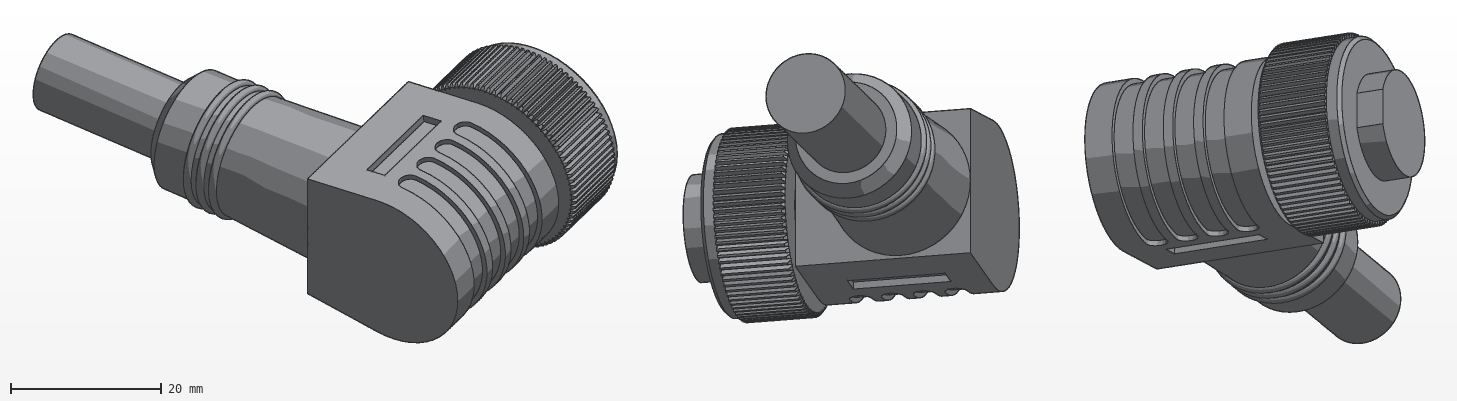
import cadquery as cq
import math


overall_length = 72.3

nose_radius = 11.5
body_back_x = -12.6
nose_tangent_x = -1.45
body_bottom_y = -9.6
body_top_y = 14.6
tangent_z = math.sqrt(nose_radius**2 - nose_tangent_x**2)
taper_angle = math.asin(-nose_tangent_x / nose_radius)

recess_offset = 2.25
recess_width = 2.9
recess_depth = 1.0
recess_bottom_y = -4.4
recess_length = 13.5

groove_count = 4
groove_width = 3.05
groove_pitch = 4.4
groove_depth = 0.7
first_groove_y = -4.1
groove_start_x = -1.4

neck_radius = 7.8
nut_radius = 13.0
knurl_depth = 0.65
knurl_count = 90
knurl_pitch_angle = 2 * math.pi / knurl_count
knurl_tip_angle = knurl_pitch_angle / 3
nut_bottom_y = 16.05
nut_top_y = 25.9
nut_chamfer = 0.4
flange_radius = 12.35
flange_top_y = 27.9
flange_chamfer = 0.5
plug_radius = 7.2
plug_flat_x = 6.8
plug_end_y = 31.7

cable_radius = 5.5
sleeve_start_x = -39.4
sleeve_radius = 8.6
sleeve_chamfer = 1.6
taper_start_x = -27.75
taper_end_radius = -body_bottom_y
ring_radius = 0.6
ring_pitch = 2.0
ring_count = 3
first_ring_x = -32.45


def cylinder_y(radius, start_y, end_y):
    """Solid cylinder on the coupling axis between two heights."""
    disc = cq.Workplane("XZ", origin=(0, start_y, 0)).circle(radius)
    return disc.extrude(start_y - end_y)


def make_body():
    """Teardrop block whose flat sides run tangent into the round nose."""
    back_z = tangent_z - math.tan(taper_angle) * (nose_tangent_x - body_back_x)
    return (
        cq.Workplane("XZ", origin=(0, body_bottom_y, 0))
        .moveTo(body_back_x, -back_z)
        .lineTo(nose_tangent_x, -tangent_z)
        .threePointArc((nose_radius, 0), (nose_tangent_x, tangent_z))
        .lineTo(body_back_x, back_z)
        .close()
        .extrude(body_bottom_y - body_top_y)
    )


def make_recesses():
    """Label recess cutters, square to the upper and lower tapered faces."""
    upper = cq.Workplane("XY").box(
        recess_width, recess_length, 2 * recess_depth, centered=(False, False, True)
    )
    upper = upper.translate((-recess_offset - recess_width, recess_bottom_y, 0))
    upper = upper.rotate((0, 0, 0), (0, 1, 0), -math.degrees(taper_angle))
    upper = upper.translate((nose_tangent_x, 0, tangent_z))
    return upper.union(upper.mirror("XY"))


def make_grooves():
    """Round-ended slots wrapping the nose down to a concentric floor."""
    end_radius = groove_width / 2
    arc_center_x = groove_start_x + end_radius
    end_x = nose_radius + groove_depth
    slots = cq.Workplane("XY")
    for index in range(groove_count):
        y = first_groove_y + index * groove_pitch
        slot = (
            cq.Workplane("XY")
            .moveTo(end_x, y - end_radius)
            .lineTo(arc_center_x, y - end_radius)
            .threePointArc((groove_start_x, y), (arc_center_x, y + end_radius))
            .lineTo(end_x, y + end_radius)
            .close()
            .extrude(nose_radius + groove_depth, both=True)
        )
        slots = slots.add(slot)
    slots = slots.combine()
    return slots.cut(cylinder_y(nose_radius - groove_depth, body_bottom_y, body_top_y))


def make_nut():
    """Nut with flat-tipped knurling and a chamfer on its lower edge."""
    root_radius = nut_radius - knurl_depth
    points = []
    for index in range(knurl_count):
        root_angle = index * knurl_pitch_angle
        tip_angle = root_angle + knurl_pitch_angle / 2
        for radius, angle in (
            (root_radius, root_angle),
            (nut_radius, tip_angle - knurl_tip_angle / 2),
            (nut_radius, tip_angle + knurl_tip_angle / 2),
        ):
            points.append((radius * math.cos(angle), radius * math.sin(angle)))
    knurled = cq.Workplane("XZ", origin=(0, nut_bottom_y, 0)).polyline(points).close()
    knurled = knurled.extrude(nut_bottom_y - nut_top_y)
    envelope = cylinder_y(nut_radius, nut_bottom_y, nut_top_y).faces("<Y").chamfer(nut_chamfer)
    return knurled.intersect(envelope)


def make_coupling():
    """Neck, nut, flange and flatted plug, stacked along the coupling axis."""
    neck = cylinder_y(neck_radius, body_top_y, nut_bottom_y)
    flange = cylinder_y(flange_radius, nut_top_y, flange_top_y).faces(">Y").chamfer(flange_chamfer)
    plug = cylinder_y(plug_radius, flange_top_y, plug_end_y)
    flat_cutter = cq.Workplane("XY").box(
        plug_radius, plug_end_y, 2 * plug_radius, centered=(False, False, True)
    )
    plug = plug.cut(flat_cutter.translate((plug_flat_x, flange_top_y, 0)))
    return neck.union(make_nut()).union(flange).union(plug)


def make_cable_side():
    """Cable and sleeve turned about the X axis, with raised rings."""
    knurl_tip_x = nut_radius * math.cos((knurl_pitch_angle - knurl_tip_angle) / 2)
    cable_end_x = knurl_tip_x - overall_length
    turned = (
        cq.Workplane("XY")
        .moveTo(cable_end_x, 0)
        .lineTo(cable_end_x, cable_radius)
        .lineTo(sleeve_start_x, cable_radius)
        .lineTo(sleeve_start_x, sleeve_radius - sleeve_chamfer)
        .lineTo(sleeve_start_x + sleeve_chamfer, sleeve_radius)
        .lineTo(taper_start_x, sleeve_radius)
        .lineTo(body_back_x, taper_end_radius)
        .lineTo(body_back_x, 0)
        .close()
        .revolve(360, (0, 0, 0), (1, 0, 0))
    )
    for index in range(ring_count):
        ring_x = first_ring_x + index * ring_pitch
        ring = cq.Workplane("XY").center(ring_x, sleeve_radius).circle(ring_radius)
        turned = turned.union(ring.revolve(360, (0, -sleeve_radius, 0), (1, -sleeve_radius, 0)))
    return turned


body = make_body().cut(make_recesses()).cut(make_grooves())
result = body.union(make_coupling()).union(make_cable_side())